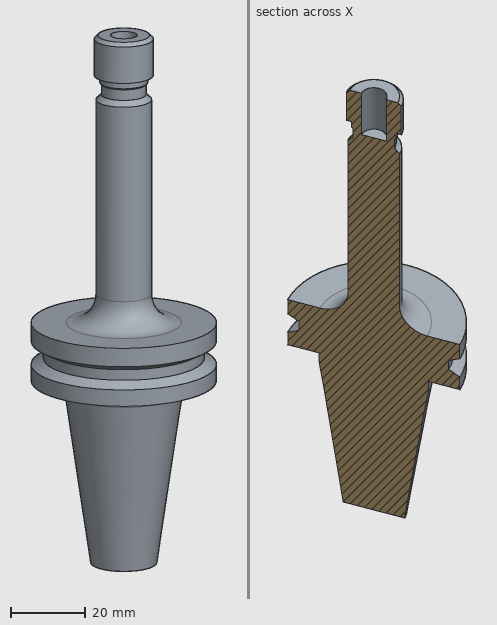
import cadquery as cq

total_height = 147.8

taper_ratio = 7 / 24
taper_top_radius = 16.0
taper_length = 48.0
taper_bottom_radius = taper_top_radius - taper_length * taper_ratio / 2

flange_radius = 25.0
flange_bottom = 51.0
flange_top = 67.2
groove_radius = 21.7
groove_bottom = 55.5
groove_top = 62.1
groove_flank_height = 1.8

shaft_radius = 7.5
flare_radius = 8.0
shaft_top = 131.2
shaft_chamfer = 1.5

neck_radius = shaft_radius - shaft_chamfer
collar_radius = 6.5
collar_bottom = 134.6
collar_cone_height = 0.5
nut_radius = 8.0
nut_bottom = 136.5
nut_chamfer = 1.0

bore_diameter = 7.1
bore_depth = 14.8


def make_body():
    """Revolve the half outline, with radius along X and height along Z."""
    outline = (
        cq.Workplane("XZ")
        .moveTo(0, 0)
        .lineTo(taper_bottom_radius, 0)
        .lineTo(taper_top_radius, taper_length)
        .lineTo(taper_top_radius, flange_bottom)
        .lineTo(flange_radius, flange_bottom)
        .lineTo(flange_radius, groove_bottom)
        .lineTo(groove_radius, groove_bottom + groove_flank_height)
        .lineTo(groove_radius, groove_top - groove_flank_height)
        .lineTo(flange_radius, groove_top)
        .lineTo(flange_radius, flange_top)
        .lineTo(shaft_radius + flare_radius, flange_top)
        .radiusArc((shaft_radius, flange_top + flare_radius), flare_radius)
        .lineTo(shaft_radius, shaft_top - shaft_chamfer)
        .lineTo(neck_radius, shaft_top)
        .lineTo(neck_radius, collar_bottom - collar_cone_height)
        .lineTo(collar_radius, collar_bottom)
        .lineTo(collar_radius, nut_bottom)
        .lineTo(nut_radius, nut_bottom)
        .lineTo(nut_radius, total_height - nut_chamfer)
        .lineTo(nut_radius - nut_chamfer, total_height)
        .lineTo(0, total_height)
        .close()
    )
    return outline.revolve(360, (0, 0, 0), (0, 1, 0))


result = make_body().faces(">Z").workplane().hole(bore_diameter, bore_depth)